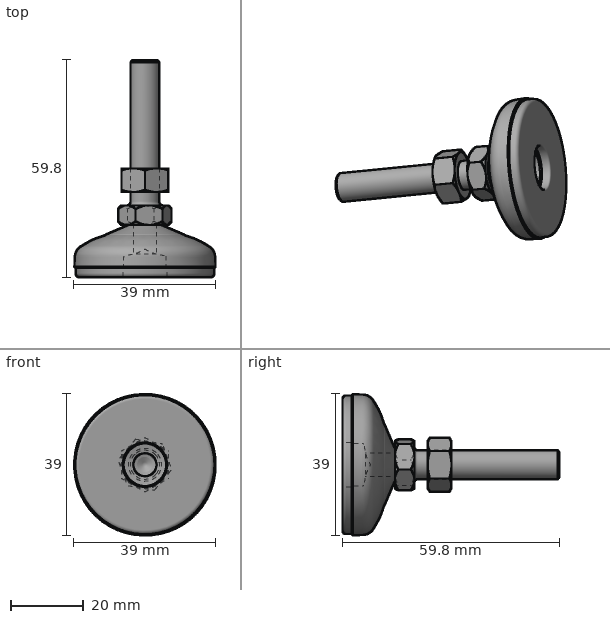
import cadquery as cq
import math

total_length = 59.8
hex_across_flats = 13.0
hex_corner_radius = hex_across_flats / math.sqrt(3)
full_turn = 360
hex_sides = 6

pad_radius = 19.15
pad_height = 2.6
pad_edge_fillet = 1.1
pad_bore_radius = 6.1
pad_bore_fillet = 0.4

rim_radius = 19.5
rim_chamfer = rim_radius - pad_radius
wall_top_radius = 19.4
wall_top = 5.5
shoulder_arc_radius = 3.6
shoulder_top = 8.7
crown_mid_radius, crown_mid = 15.0, 10.1
crown_radius, crown_top = 11.2, 11.55
cone_radius, cone_base = 10.7, 11.85
cone_tip_radius = 4.55
plate_bore_radius = 5.85
plate_bore_chamfer = pad_bore_radius - plate_bore_radius
plate_bore_chamfer_height = 0.55
roof_radius = 5.4
roof_edge = 6.0
roof_slope = 11.0

neck_radius = 3.15
hex_base = 14.5
hex_top = 19.8
hex_turn = 50.0
hex_chamfer = 0.95
shaft_radius = 4.0
shaft_fillet = 1.0
shaft_tip_chamfer = 0.6
countersink_radius = 2.1
countersink_slope = 27.0
flare_slope = 15.0

nut_base = 23.5
nut_height = 6.5
nut_turn = 90.0
nut_chamfer_slope = 30.0


def revolve(outline):
    """Turn a closed (radius, Y) outline around the Y axis."""
    return outline.close().revolve(full_turn, (0, 0, 0), (0, 1, 0))


def cone_rise(radial_width, slope):
    """Axial height of a cone over a radial width, for a slope in degrees."""
    return radial_width * math.tan(math.radians(slope))


def arc_inset(fillet):
    """Distance from either tangent face to the middle of a quarter-round fillet."""
    return fillet * (1 - math.sqrt(0.5))


def chamfered_hexagon(base, height, turn, chamfer_radial, chamfer_axial):
    """Hexagonal prism along Y whose corners are turned off conically at both ends."""
    end_radius = hex_corner_radius - chamfer_radial
    top = base + height
    prism = (
        cq.Workplane("XZ", origin=(0, base, 0))
        .transformed(rotate=(0, 0, turn))
        .polygon(hex_sides, 2 * hex_corner_radius)
        .extrude(-height)
    )
    envelope = revolve(
        cq.Workplane("XY")
        .moveTo(0, base)
        .lineTo(end_radius, base)
        .lineTo(hex_corner_radius, base + chamfer_axial)
        .lineTo(hex_corner_radius, top - chamfer_axial)
        .lineTo(end_radius, top)
        .lineTo(0, top)
    )
    return prism.intersect(envelope)


neck_end = roof_edge + cone_rise(roof_radius - neck_radius, roof_slope)
countersink_edge = neck_end + cone_rise(neck_radius - countersink_radius, flare_slope)
countersink_tip = countersink_edge + cone_rise(countersink_radius, countersink_slope)


def make_pad():
    """Flat ring under the plate, with rounded lower edges."""
    fillet_mid = arc_inset(pad_edge_fillet)
    bore_fillet_mid = arc_inset(pad_bore_fillet)
    return revolve(
        cq.Workplane("XY")
        .moveTo(pad_bore_radius + pad_bore_fillet, 0)
        .lineTo(pad_radius - pad_edge_fillet, 0)
        .threePointArc((pad_radius - fillet_mid, fillet_mid), (pad_radius, pad_edge_fillet))
        .lineTo(pad_radius, pad_height)
        .lineTo(pad_bore_radius, pad_height)
        .lineTo(pad_bore_radius, pad_bore_fillet)
        .threePointArc(
            (pad_bore_radius + bore_fillet_mid, bore_fillet_mid),
            (pad_bore_radius + pad_bore_fillet, 0),
        )
    )


def make_plate():
    """Domed plate: tapered wall, two-arc dome, countersunk bore and a cone that carries the stud."""
    roof_fillet = plate_bore_radius - roof_radius
    roof_fillet_mid = arc_inset(roof_fillet)
    shoulder_centre = wall_top_radius - shoulder_arc_radius
    shoulder_angle = math.asin((shoulder_top - wall_top) / shoulder_arc_radius)
    shoulder_radius = shoulder_centre + shoulder_arc_radius * math.cos(shoulder_angle)
    shoulder_mid = (
        shoulder_centre + shoulder_arc_radius * math.cos(shoulder_angle / 2),
        wall_top + shoulder_arc_radius * math.sin(shoulder_angle / 2),
    )
    return revolve(
        cq.Workplane("XY")
        .moveTo(plate_bore_radius + plate_bore_chamfer, pad_height)
        .lineTo(pad_radius, pad_height)
        .lineTo(rim_radius, pad_height + rim_chamfer)
        .lineTo(wall_top_radius, wall_top)
        .threePointArc(shoulder_mid, (shoulder_radius, shoulder_top))
        .threePointArc((crown_mid_radius, crown_mid), (crown_radius, crown_top))
        .lineTo(cone_radius, cone_base)
        .lineTo(cone_tip_radius, hex_base)
        .lineTo(neck_radius, hex_base)
        .lineTo(neck_radius, neck_end)
        .lineTo(roof_radius, roof_edge)
        .threePointArc(
            (plate_bore_radius - roof_fillet_mid, roof_edge - roof_fillet_mid),
            (plate_bore_radius, roof_edge - roof_fillet),
        )
        .lineTo(plate_bore_radius, pad_height + plate_bore_chamfer_height)
    )


def make_stud():
    """Plain shaft with a wrench hexagon and a countersunk neck held in the plate."""
    fillet_mid = arc_inset(shaft_fillet)
    shaft = revolve(
        cq.Workplane("XY")
        .moveTo(0, countersink_tip)
        .lineTo(countersink_radius, countersink_edge)
        .lineTo(neck_radius, neck_end)
        .lineTo(neck_radius, hex_top)
        .lineTo(shaft_radius + shaft_fillet, hex_top)
        .threePointArc(
            (shaft_radius + fillet_mid, hex_top + fillet_mid),
            (shaft_radius, hex_top + shaft_fillet),
        )
        .lineTo(shaft_radius, total_length - shaft_tip_chamfer)
        .lineTo(shaft_radius - shaft_tip_chamfer, total_length)
        .lineTo(0, total_length)
    )
    hexagon = chamfered_hexagon(hex_base, hex_top - hex_base, hex_turn, hex_chamfer, hex_chamfer)
    return shaft.union(hexagon)


def make_nut():
    """Hexagonal lock nut, bored to fit the shaft."""
    chamfer_radial = hex_corner_radius - hex_across_flats / 2
    chamfer_axial = cone_rise(chamfer_radial, nut_chamfer_slope)
    nut = chamfered_hexagon(nut_base, nut_height, nut_turn, chamfer_radial, chamfer_axial)
    bore = cq.Workplane("XZ", origin=(0, nut_base, 0)).circle(shaft_radius).extrude(-nut_height)
    return nut.cut(bore)


pad = make_pad()
plate = make_plate()
stud = make_stud()
nut = make_nut()

result = cq.Compound.makeCompound([pad.val(), plate.val(), stud.val(), nut.val()])